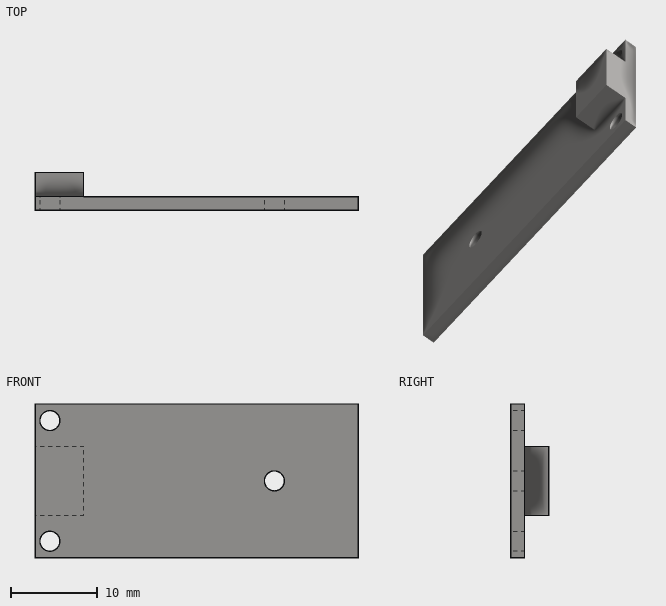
import cadquery as cq

plate_length = 37.35
plate_height = 17.77
total_depth = 4.4
plate_thickness = 1.6

block_length = 5.6
block_height = 8.0

hole_diameter = 2.28
corner_hole_inset = 1.7
corner_hole_spacing = 13.93
single_hole_distance = 27.65

plate = cq.Workplane("XY").box(
    plate_length, plate_thickness, plate_height, centered=(False, False, True)
)

block = (
    cq.Workplane("XY")
    .box(block_length, total_depth, block_height, centered=(False, False, True))
)

hole_centers = [
    (corner_hole_inset, corner_hole_spacing / 2),
    (corner_hole_inset, -corner_hole_spacing / 2),
    (single_hole_distance, 0),
]
holes = (
    cq.Workplane("XZ")
    .pushPoints(hole_centers)
    .circle(hole_diameter / 2)
    .extrude(-total_depth)
)

result = plate.union(block).cut(holes)